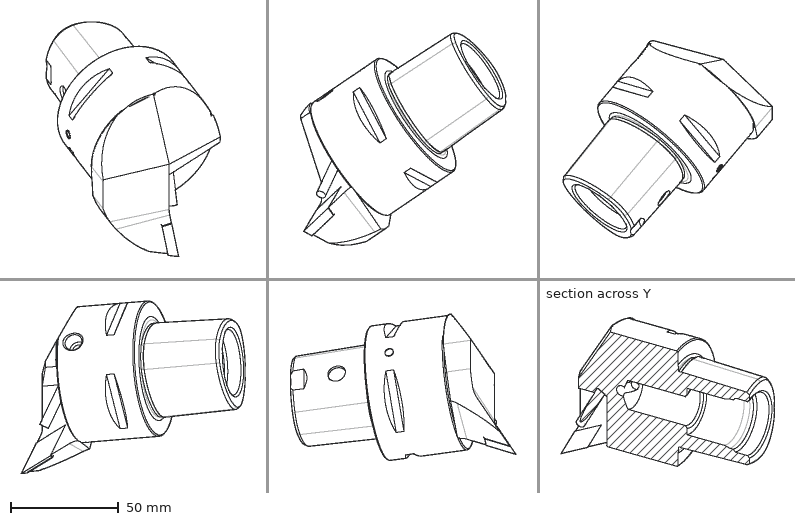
import cadquery as cq
import math

flange_radius = 31.5
flange_length = 37.9
flange_chamfer = 0.6

shank_length = 38.0
lobe_mean_radius = 22.05
lobe_height = 1.25
lobe_half_angle = 25.0
shank_taper = 1 / 40
shank_chamfer_length = 1.4
shank_chamfer_inset = 0.9

neck_radius = 22.6
neck_inset = 0.15
neck_length = 1.8
collar_radius = 24.2
collar_height = 0.4

head_radius = 32.0
head_front_x = 54.75
tip_x = 65.0
tip_z = -45.07
insert_angle = 35.0
insert_edge = 16.0
insert_thickness = 4.76
clearance_angle = 7.0
back_draft_angle = 20.3


def square_to_axis(x):
    """Plane across the tool axis at x, with local x along Y and local y along Z."""
    return cq.Workplane("YZ", origin=(x, 0, 0))


def lobe_point(angle, mean_radius):
    """Point of the trilobe whose normal makes this angle (degrees) with +Y."""
    a = math.radians(angle)
    support = mean_radius + lobe_height * math.cos(3 * a)
    slope = -3 * lobe_height * math.sin(3 * a)
    y = support * math.cos(a) - slope * math.sin(a)
    z = support * math.sin(a) + slope * math.cos(a)
    return cq.Vector(y, z, 0)


def lobe_section(x, inset=0.0):
    """Closed trilobe outline at x, made of three tight and three flat stretches."""
    mean_radius = lobe_mean_radius + shank_taper * x - inset
    joints = []
    for lobe in (0, 120, 240):
        joints += [lobe - lobe_half_angle, lobe + lobe_half_angle]
    plane = square_to_axis(x).plane
    edges = []
    steps = 8
    for start, end in zip(joints, joints[1:] + [joints[0] + 360]):
        angles = [start + (end - start) * i / steps for i in range(steps + 1)]
        points = [plane.toWorldCoords(lobe_point(a, mean_radius)) for a in angles]
        edges.append(cq.Edge.makeSpline(points))
    return cq.Wire.assembleEdges(edges)


def shank_stretch(x0, x1, inset0=0.0, inset1=0.0):
    return cq.Workplane(cq.Solid.makeLoft([lobe_section(x0, inset0), lobe_section(x1, inset1)], True))


def make_shank():
    chamfer_x = -shank_length + shank_chamfer_length
    mouth = shank_stretch(-shank_length, chamfer_x, shank_chamfer_inset)
    taper = shank_stretch(chamfer_x, -neck_length)
    neck = shank_stretch(-neck_length, 0, neck_inset, neck_inset)
    neck = neck.intersect(square_to_axis(-neck_length).circle(neck_radius).extrude(neck_length))
    return mouth.union(taper).union(neck)


def make_flange():
    flange = square_to_axis(0).circle(flange_radius).extrude(flange_length)
    flange = flange.faces("<X or >X").chamfer(flange_chamfer)
    collar_width = collar_radius - neck_radius
    rounding = (collar_width**2 + collar_height**2) / (2 * collar_height)
    half_sweep = math.asin(collar_width / rounding) / 2
    rounding_middle = (
        -collar_height + rounding * (1 - math.cos(half_sweep)),
        neck_radius + rounding * math.sin(half_sweep),
    )
    collar = (
        cq.Workplane("XY")
        .lineTo(-collar_height, 0)
        .lineTo(-collar_height, neck_radius)
        .threePointArc(rounding_middle, (0, collar_radius))
        .close()
        .revolve(360, (0, 0, 0), (1, 0, 0))
    )
    return flange.union(collar)


edge_lean = (90 - insert_angle) / 2
edge_long = math.cos(math.radians(edge_lean))
edge_short = math.sin(math.radians(edge_lean))
holder_inset = 0.25
support_tip_shift = holder_inset / math.sin(math.radians(insert_angle / 2)) / math.sqrt(2)
front_corner_radius = 6.0
back_corner_radius = 9.5

top_slope_angle = 30.0
outline_top_z = 34.0
head_back_z = -31.5
head_back_lean = 0.1
front_top_z = 2.2


def top_slope_x(z):
    """X of the sloping top line at the height z."""
    return head_front_x - (z - front_top_z) * math.tan(math.radians(top_slope_angle))


def head_outline():
    """Head outline in the XZ plane, including the insert support that ends in the tip."""
    tip_corner_x = tip_x - support_tip_shift
    tip_corner_z = tip_z + support_tip_shift
    front_corner_z = tip_corner_z + (tip_corner_x - head_front_x) / edge_short * edge_long
    back_corner_x = tip_corner_x - (head_back_z - tip_corner_z) / edge_short * edge_long
    half_turn = math.radians(edge_lean / 2)
    front_tangent = front_corner_radius * math.tan(half_turn)
    front_arc_start = (head_front_x, front_corner_z + front_tangent)
    front_arc_middle = (
        front_arc_start[0] + front_corner_radius * (1 - math.cos(half_turn)),
        front_arc_start[1] - front_corner_radius * math.sin(half_turn),
    )
    front_arc_end = (head_front_x + front_tangent * edge_short, front_corner_z - front_tangent * edge_long)
    back_tangent = back_corner_radius * math.tan(half_turn)
    back_arc_start = (back_corner_x + back_tangent * edge_long, head_back_z - back_tangent * edge_short)
    back_arc_end = (back_corner_x - back_tangent, head_back_z)
    back_arc_middle = (
        back_arc_end[0] + back_corner_radius * math.sin(half_turn),
        back_arc_end[1] - back_corner_radius * (1 - math.cos(half_turn)),
    )
    back_top_x = back_arc_end[0] - head_back_lean * (outline_top_z - head_back_z)
    return (
        cq.Workplane("XZ")
        .moveTo(back_top_x, outline_top_z)
        .lineTo(top_slope_x(outline_top_z), outline_top_z)
        .lineTo(head_front_x, front_top_z)
        .lineTo(*front_arc_start)
        .threePointArc(front_arc_middle, front_arc_end)
        .lineTo(tip_corner_x, tip_corner_z)
        .lineTo(*back_arc_start)
        .threePointArc(back_arc_middle, back_arc_end)
        .close()
    )


flat_bottom_z = -16.0
belly_radius = 39.0
belly_center_y = 5.9
belly_center_z = -6.7


def make_front_half():
    """-Y half: drafted outline trimmed by the round, the side flat and the belly arc."""
    drafted = head_outline().extrude(head_radius + 1, taper=clearance_angle)
    belly_end_z = belly_center_z - math.sqrt(belly_radius**2 - belly_center_y**2)
    middle = math.radians(225)
    belly_middle = (
        belly_center_y + belly_radius * math.cos(middle),
        belly_center_z + belly_radius * math.sin(middle),
    )
    diagonal = head_radius * math.sqrt(0.5)
    trim = (
        square_to_axis(0)
        .moveTo(0, head_radius)
        .threePointArc((-diagonal, diagonal), (-head_radius, 0))
        .lineTo(-head_radius, flat_bottom_z)
        .threePointArc(belly_middle, (0, belly_end_z))
        .close()
        .extrude(tip_x)
    )
    inside_flange = square_to_axis(0).circle(flange_radius + 1).circle(flange_radius).extrude(flange_length)
    return drafted.intersect(trim).cut(inside_flange)


rear_half_start_x = 25.0
chip_space_z = -4.0


def make_leaning_limit():
    """+Y space behind the top and front faces, which both lean back strongly from Y = 0."""
    far = 2 * head_radius
    return (
        cq.Workplane("XZ")
        .moveTo(-rear_half_start_x, far)
        .lineTo(top_slope_x(far), far)
        .lineTo(head_front_x, front_top_z)
        .lineTo(head_front_x, -far)
        .lineTo(-rear_half_start_x, -far)
        .close()
        .extrude(-head_radius, taper=back_draft_angle)
    )


def make_round_nose():
    """Round bar ahead of the flange, open below on the insert's rake side."""
    flange_end = square_to_axis(flange_length)
    nose = flange_end.circle(head_radius).extrude(head_front_x - flange_length)
    open_size = 3 * head_radius
    chip_space = flange_end.rect(open_size, open_size).extrude(tip_x)
    return nose.cut(chip_space.translate((0, 0, chip_space_z - open_size / 2)))


def make_blank():
    """Shank, flange and both head halves, before the bores and outside cuts."""
    flange = make_flange()
    rear_zone = (
        cq.Workplane("XY")
        .box(head_front_x - rear_half_start_x, head_radius, 2 * head_radius, centered=(False, False, True))
        .translate((rear_half_start_x, 0, 0))
    )
    rear_half = flange.union(make_round_nose()).intersect(rear_zone).intersect(make_leaning_limit())
    return flange.cut(rear_zone).union(rear_half).union(make_front_half()).union(make_shank())


mouth_radius = 16.2
bore_radius = 15.2
land_radius = 14.0
chamber_radius = 13.3
passage_radius = 10.2
passage_end_radius = 9.1
bore_end_x = -30.6
land_end_x = -27.5
chamber_x = -24.8
chamber_end_x = -5.0
passage_chamfer = passage_radius - passage_end_radius
cone_start_x = 26.5
drill_point_angle = 118.0

cross_hole_x = 30.0
cross_hole_angle = 14.0
cross_hole_radius = 2.5
cross_hole_reach = 9.0
port_radius = 4.05
port_mouth_radius = 4.9
port_depth = 8.0


def drill_point_length(radius):
    return radius / math.tan(math.radians(drill_point_angle / 2))


def make_bore():
    mouth_x = -shank_length
    profile = [
        (mouth_x, 0),
        (mouth_x, mouth_radius),
        (mouth_x + mouth_radius - bore_radius, bore_radius),
        (bore_end_x, bore_radius),
        (bore_end_x + bore_radius - land_radius, land_radius),
        (land_end_x, land_radius),
        (chamber_x, chamber_radius),
        (chamber_end_x, chamber_radius),
        (chamber_end_x, passage_radius),
        (chamber_end_x + passage_chamfer, passage_end_radius),
        (cone_start_x, passage_end_radius),
        (cone_start_x + drill_point_length(passage_end_radius), 0),
    ]
    return cq.Workplane("XY").polyline(profile).close().revolve(360, (0, 0, 0), (1, 0, 0))


def make_cross_hole():
    """Hole through the axis to the rim, opening into a wider chamfered port."""
    port_chamfer = port_mouth_radius - port_radius
    profile = [
        (0, -cross_hole_reach),
        (cross_hole_radius, -cross_hole_reach),
        (cross_hole_radius, flange_radius - port_depth),
        (port_radius, flange_radius - port_depth),
        (port_radius, flange_radius - port_chamfer),
        (port_mouth_radius, flange_radius),
        (port_mouth_radius, flange_radius + 1),
        (0, flange_radius + 1),
    ]
    hole = cq.Workplane("XY").polyline(profile).close().revolve(360, (0, 0, 0), (0, 1, 0))
    return hole.rotate((0, 0, 0), (1, 0, 0), cross_hole_angle).translate((cross_hole_x, 0, 0))


gripper_x = 12.0
gripper_floor_width = 3.7
gripper_floor_distance = 27.9
gripper_flank_angle = 30.0
gripper_angles = (45, 135, 225, 315)

key_floor_y = -18.35
key_radius = 14.0
key_end_x = -31.5
key_cone_length = 4.0

dimple_radius = 2.0
dimple_depth = 0.5
shank_hole_x = -15.6
shank_hole_radius = 4.2
shank_hole_depth = 2.0


def make_gripper_groove(angle):
    """Flat-floored groove with sloping flanks across the rim, at an angle about the X axis."""
    top = flange_radius + 1
    half_floor = gripper_floor_width / 2
    half_top = half_floor + (top - gripper_floor_distance) * math.tan(math.radians(gripper_flank_angle))
    groove = (
        cq.Workplane("XZ")
        .moveTo(gripper_x - half_floor, gripper_floor_distance)
        .lineTo(gripper_x + half_floor, gripper_floor_distance)
        .lineTo(gripper_x + half_top, top)
        .lineTo(gripper_x - half_top, top)
        .close()
        .extrude(flange_radius, both=True)
    )
    return groove.rotate((0, 0, 0), (1, 0, 0), angle)


def make_key_notch():
    """Shallow round-floored notch in the shank mouth, ending in a 45 degree cone."""
    center_y = key_floor_y - key_radius
    return (
        cq.Workplane("XY")
        .moveTo(-shank_length, center_y)
        .lineTo(-shank_length, key_floor_y)
        .lineTo(key_end_x, key_floor_y)
        .lineTo(key_end_x + key_cone_length, key_floor_y - key_cone_length)
        .lineTo(key_end_x + key_cone_length, center_y)
        .close()
        .revolve(360, (0, center_y, 0), (1, center_y, 0))
    )


def make_pointed_hole(x, radius, bottom_y, outside_y):
    """Hole along Y from the -Y side with a drill point below its straight part."""
    return (
        cq.Workplane("XY")
        .moveTo(x, outside_y)
        .lineTo(x + radius, outside_y)
        .lineTo(x + radius, bottom_y)
        .lineTo(x, bottom_y + drill_point_length(radius))
        .close()
        .revolve(360, (x, 0, 0), (x, 1, 0))
    )


def make_insert():
    along_front = (-edge_short * insert_edge, edge_long * insert_edge)
    along_back = (-edge_long * insert_edge, edge_short * insert_edge)
    return (
        cq.Workplane("XZ")
        .moveTo(tip_x, tip_z)
        .lineTo(tip_x + along_front[0], tip_z + along_front[1])
        .lineTo(tip_x + along_front[0] + along_back[0], tip_z + along_front[1] + along_back[1])
        .lineTo(tip_x + along_back[0], tip_z + along_back[1])
        .close()
        .extrude(insert_thickness, taper=clearance_angle)
    )


nozzle_radius = 2.2
nozzle_end = cq.Vector(53.1, 2.5, -24.0)
nozzle_length = 25.0


def make_nozzle():
    aim = (cq.Vector(tip_x, 0, tip_z) - nozzle_end).normalized()
    return cq.Workplane(cq.Solid.makeCylinder(nozzle_radius, nozzle_length, nozzle_end - aim * nozzle_length, aim))


def make_holder():
    holder = make_blank().cut(make_bore()).cut(make_cross_hole()).cut(make_key_notch())
    for angle in gripper_angles:
        holder = holder.cut(make_gripper_groove(angle))
    dimple = make_pointed_hole(gripper_x, dimple_radius, dimple_depth - flange_radius, -flange_radius - 1)
    flat_y = lobe_height - lobe_mean_radius
    shank_hole = make_pointed_hole(shank_hole_x, shank_hole_radius, flat_y + shank_hole_depth, flat_y - 1)
    return holder.cut(dimple).cut(shank_hole)


insert = make_insert()
nozzle = make_nozzle()
holder = make_holder().cut(insert).cut(nozzle)

result = cq.Compound.makeCompound([holder.val(), insert.val(), nozzle.val()])